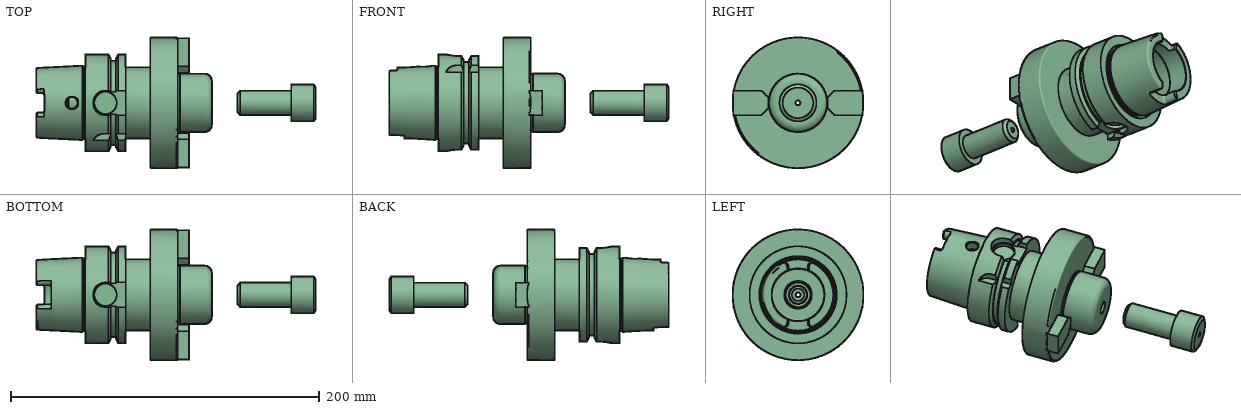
import cadquery as cq
import math

shank_end_x = -32.0
taper_base_x = -2.0
flange_end_x = 26.0
disc_start_x = 42.0
disc_end_x = 60.0
pilot_neck_end_x = 61.2
pilot_start_x = 61.6
pilot_end_x = 82.1

gauge_plane_x = -6.3
gauge_radius = 24.0
taper_slope = 1 / 19.96
relief_radius = 23.8
undercut_start_x = -1.0
undercut_floor_x = -0.4
undercut_radius = 23.4
face_recess_radius = 25.2
face_recess_depth = 0.5
flange_radius = 31.5
body_radius = 23.25
disc_radius = 42.5
pilot_neck_radius = 37.7 / 2
pilot_radius = 38.1 / 2
shank_end_round = 1.2
disc_edge_round = 1.0
pilot_end_round = 5.0

groove_center_x = 18.1
groove_floor_radius = 27.5
groove_step_radius = 28.7
groove_floor_half_width = 1.65
groove_mouth_half_width = 3.2

bore_radius = 17.0
bore_wide_radius = 34.5 / 2
bore_step_x = -18.6
bore_floor_x = -4.9
bore_floor_round = 1.5
collar_radius = 9.0
collar_end_x = -11.9
collar_chamfer = 1.0
tube_radius = 6.0
tube_tip_radius = 11.3 / 2
tube_end_x = -14.0
coolant_hole_radius = 4.0

drive_slot_half_width = 6.15
upper_slot_depth = 5.4
lower_slot_depth = 9.9
slot_shoulder_radius = 3.0
slot_shoulder_z = 18.0
slot_floor_round = 1.3
slot_mouth_flare = 1.0
slot_flare_angle = 45.0

access_hole_x = -8.85
access_hole_radius = 7.5 / 2
access_countersink_radius = 4.3
access_countersink_depth = 1.0

keyway_radius = 8.0
keyway_center_x = 13.0
keyway_floor_z = 26.5
keyway_pocket_diameter = 14.5
keyway_pocket_floor_z = 24.0
notch_corner = 20.0
notch_round_x = 12.1
notch_round_radius = 8.0

key_width = 15.88
key_end_x = 67.2
key_inner_y = 19.4
key_outer_y = 42.0
key_corner_chamfer = 4.3

head_end_x = 149.47
head_length = 16.0
thread_length = 35.0
thread_radius = 8.0
tip_radius = 6.0
head_radius = 12.0
head_end_radius = 9.9
head_chamfer_angle = 30.0
screw_hole_diameter = 3.0


def taper_radius(x):
    return gauge_radius + (x - gauge_plane_x) * taper_slope


def revolve_about_x(outline):
    """Close an (x, radius) outline and turn it into a solid around the X axis."""
    return outline.close().revolve(360, (0, 0, 0), (1, 0, 0))


def make_holder_blank():
    shank_round_end_x = shank_end_x + shank_end_round
    shank_round_top = taper_radius(shank_round_end_x)
    outline = (
        cq.Workplane("XY")
        .moveTo(shank_end_x, 0)
        .lineTo(shank_end_x, shank_round_top - shank_end_round)
        .radiusArc((shank_round_end_x, shank_round_top), shank_end_round)
        .lineTo(taper_base_x, taper_radius(taper_base_x))
        .lineTo(taper_base_x, relief_radius)
        .lineTo(undercut_start_x, relief_radius)
        .lineTo(undercut_floor_x, undercut_radius)
        .lineTo(face_recess_depth, undercut_radius)
        .lineTo(face_recess_depth, face_recess_radius)
        .lineTo(0, face_recess_radius)
        .lineTo(0, flange_radius)
        .lineTo(groove_center_x - groove_mouth_half_width, flange_radius)
        .lineTo(groove_center_x - groove_floor_half_width, groove_step_radius)
        .lineTo(groove_center_x - groove_floor_half_width, groove_floor_radius)
        .lineTo(groove_center_x + groove_floor_half_width, groove_floor_radius)
        .lineTo(groove_center_x + groove_floor_half_width, groove_step_radius)
        .lineTo(groove_center_x + groove_mouth_half_width, flange_radius)
        .lineTo(flange_end_x, flange_radius)
        .lineTo(flange_end_x, body_radius)
        .lineTo(disc_start_x, body_radius)
        .lineTo(disc_start_x, disc_radius - disc_edge_round)
        .radiusArc((disc_start_x + disc_edge_round, disc_radius), disc_edge_round)
        .lineTo(disc_end_x - disc_edge_round, disc_radius)
        .radiusArc((disc_end_x, disc_radius - disc_edge_round), disc_edge_round)
        .lineTo(disc_end_x, pilot_neck_radius)
        .lineTo(pilot_neck_end_x, pilot_neck_radius)
        .lineTo(pilot_start_x, pilot_radius)
        .lineTo(pilot_end_x - pilot_end_round, pilot_radius)
        .radiusArc((pilot_end_x, pilot_radius - pilot_end_round), pilot_end_round)
        .lineTo(pilot_end_x, 0)
    )
    return revolve_about_x(outline)


def make_clamping_bore():
    """Space inside the shank around the coolant tube."""
    outline = (
        cq.Workplane("XY")
        .moveTo(shank_end_x, 0)
        .lineTo(shank_end_x, bore_wide_radius)
        .lineTo(shank_end_x + bore_wide_radius - bore_radius, bore_radius)
        .lineTo(bore_step_x, bore_radius)
        .lineTo(bore_step_x, bore_wide_radius)
        .lineTo(bore_floor_x - bore_floor_round, bore_wide_radius)
        .radiusArc((bore_floor_x, bore_wide_radius - bore_floor_round), bore_floor_round)
        .lineTo(bore_floor_x, collar_radius)
        .lineTo(collar_end_x + collar_chamfer, collar_radius)
        .lineTo(collar_end_x, collar_radius - collar_chamfer)
        .lineTo(collar_end_x, tube_radius)
        .lineTo(tube_end_x + tube_radius - tube_tip_radius, tube_radius)
        .lineTo(tube_end_x, tube_tip_radius)
        .lineTo(tube_end_x, 0)
    )
    return revolve_about_x(outline)


def drive_slot_outline(offset):
    """Slot section across the shank, widening above the rounded shoulders."""
    half_width = drive_slot_half_width + offset
    shoulder_top_z = slot_shoulder_z + slot_shoulder_radius
    shoulder_y = half_width + slot_shoulder_radius
    top_z = flange_radius
    return (
        cq.Workplane("YZ", origin=(shank_end_x, 0, 0))
        .moveTo(-half_width, 0)
        .lineTo(-half_width, slot_shoulder_z)
        .radiusArc((-shoulder_y, shoulder_top_z), -slot_shoulder_radius)
        .lineTo(-shoulder_y, top_z)
        .lineTo(shoulder_y, top_z)
        .lineTo(shoulder_y, shoulder_top_z)
        .radiusArc((half_width, slot_shoulder_z), -slot_shoulder_radius)
        .lineTo(half_width, 0)
        .close()
    )


def make_drive_slot(depth):
    slot = drive_slot_outline(0).extrude(depth)
    slot = slot.faces(">X").edges("not #Z").fillet(slot_floor_round)
    flare = drive_slot_outline(slot_mouth_flare).extrude(slot_mouth_flare, taper=slot_flare_angle)
    return slot.union(flare)


def make_access_hole():
    """Countersunk radial hole from the taper surface into the clamping bore."""
    surface_z = taper_radius(access_hole_x)
    outline = (
        cq.Workplane("XZ", origin=(access_hole_x, 0, 0))
        .moveTo(0, collar_radius)
        .lineTo(access_hole_radius, collar_radius)
        .lineTo(access_hole_radius, surface_z - access_countersink_depth)
        .lineTo(access_countersink_radius, surface_z)
        .lineTo(access_countersink_radius, flange_radius)
        .lineTo(0, flange_radius)
    )
    return outline.close().revolve(360, (0, 0, 0), (0, 1, 0))


def make_keyway():
    """Round-ended keyway with a deeper round pocket, open to the back of the flange."""
    floor = cq.Workplane("XY", origin=(keyway_center_x, 0, keyway_floor_z))
    height = flange_radius - keyway_floor_z
    length = flange_end_x - keyway_center_x
    keyway = floor.circle(keyway_radius).extrude(height)
    channel = floor.center(length / 2, 0).rect(length, 2 * keyway_radius).extrude(height)
    pocket = (
        cq.Workplane("XY", origin=(keyway_center_x, 0, keyway_pocket_floor_z))
        .circle(keyway_pocket_diameter / 2)
        .extrude(flange_radius - keyway_pocket_floor_z)
    )
    return keyway.union(channel).union(pocket)


def make_orientation_notch():
    """Corner cut with a flat floor and a wall that curves out of the flange."""
    far_y = -notch_corner - notch_round_radius
    return (
        cq.Workplane("XY", origin=(0, 0, notch_corner))
        .moveTo(flange_end_x, -notch_corner)
        .lineTo(notch_round_x, -notch_corner)
        .radiusArc((notch_round_x - notch_round_radius, far_y), -notch_round_radius)
        .lineTo(flange_end_x, far_y)
        .close()
        .extrude(flange_radius)
    )


def make_drive_key():
    half_width = key_width / 2
    start_x = disc_end_x - disc_edge_round
    return (
        cq.Workplane("YZ", origin=(start_x, 0, 0))
        .moveTo(key_outer_y, half_width)
        .lineTo(key_inner_y + key_corner_chamfer, half_width)
        .lineTo(key_inner_y, half_width - key_corner_chamfer)
        .lineTo(key_inner_y, key_corner_chamfer - half_width)
        .lineTo(key_inner_y + key_corner_chamfer, -half_width)
        .lineTo(key_outer_y, -half_width)
        .close()
        .extrude(key_end_x - start_x)
    )


def half_turn(shape):
    return shape.rotate((0, 0, 0), (1, 0, 0), 180)


def make_holder():
    holder = make_holder_blank().cut(make_clamping_bore())
    coolant_hole = (
        cq.Workplane("YZ", origin=(shank_end_x, 0, 0))
        .circle(coolant_hole_radius)
        .extrude(pilot_end_x - shank_end_x)
    )
    holder = holder.cut(coolant_hole)
    holder = holder.cut(make_drive_slot(upper_slot_depth))
    holder = holder.cut(half_turn(make_drive_slot(lower_slot_depth)))
    holder = holder.cut(make_access_hole())
    holder = holder.cut(make_orientation_notch())
    keyway = make_keyway()
    for cutter in (keyway, half_turn(keyway)):
        holder = holder.cut(cutter)
    drive_key = make_drive_key()
    for key in (drive_key, half_turn(drive_key)):
        holder = holder.union(key)
    return holder


def make_screw():
    head_start_x = head_end_x - head_length
    tip_x = head_start_x - thread_length
    tip_chamfer = thread_radius - tip_radius
    head_chamfer = (head_radius - head_end_radius) * math.tan(math.radians(head_chamfer_angle))
    outline = (
        cq.Workplane("XY")
        .moveTo(tip_x, 0)
        .lineTo(tip_x, tip_radius)
        .lineTo(tip_x + tip_chamfer, thread_radius)
        .lineTo(head_start_x, thread_radius)
        .lineTo(head_start_x, head_radius)
        .lineTo(head_end_x - head_chamfer, head_radius)
        .lineTo(head_end_x, head_end_radius)
        .lineTo(head_end_x, 0)
    )
    hole = (
        cq.Workplane("YZ", origin=(tip_x, 0, 0))
        .circle(screw_hole_diameter / 2)
        .extrude(thread_length + head_length)
    )
    return revolve_about_x(outline).cut(hole)


holder = make_holder()
screw = make_screw()
result = cq.Compound.makeCompound([holder.val(), screw.val()])